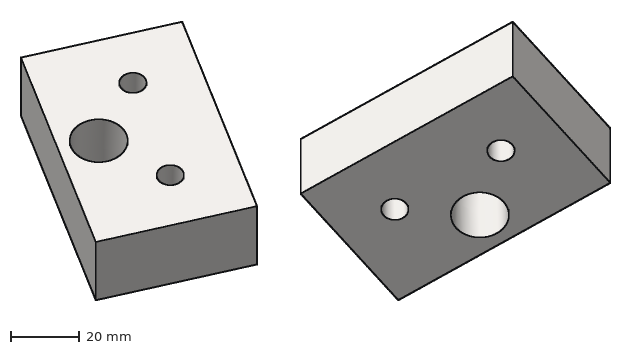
import cadquery as cq

length = 76.2
width = 49.3
height = 25.4

bore_diameter = 17.0
bore_from_front = 12.35

small_hole_diameter = 8.0
small_hole_spacing = length / 2
small_holes_from_front = 28.5

front_y = -width / 2
bore_center = (0, front_y + bore_from_front)
small_hole_centers = [
    (side * small_hole_spacing / 2, front_y + small_holes_from_front)
    for side in (-1, 1)
]

block = cq.Workplane("XY").box(length, width, height)


def through_holes(centers, diameter):
    """Vertical cutters through the full height of the block."""
    return (
        cq.Workplane("XY")
        .pushPoints(centers)
        .circle(diameter / 2)
        .extrude(height, both=True)
    )


result = (
    block
    .cut(through_holes([bore_center], bore_diameter))
    .cut(through_holes(small_hole_centers, small_hole_diameter))
)